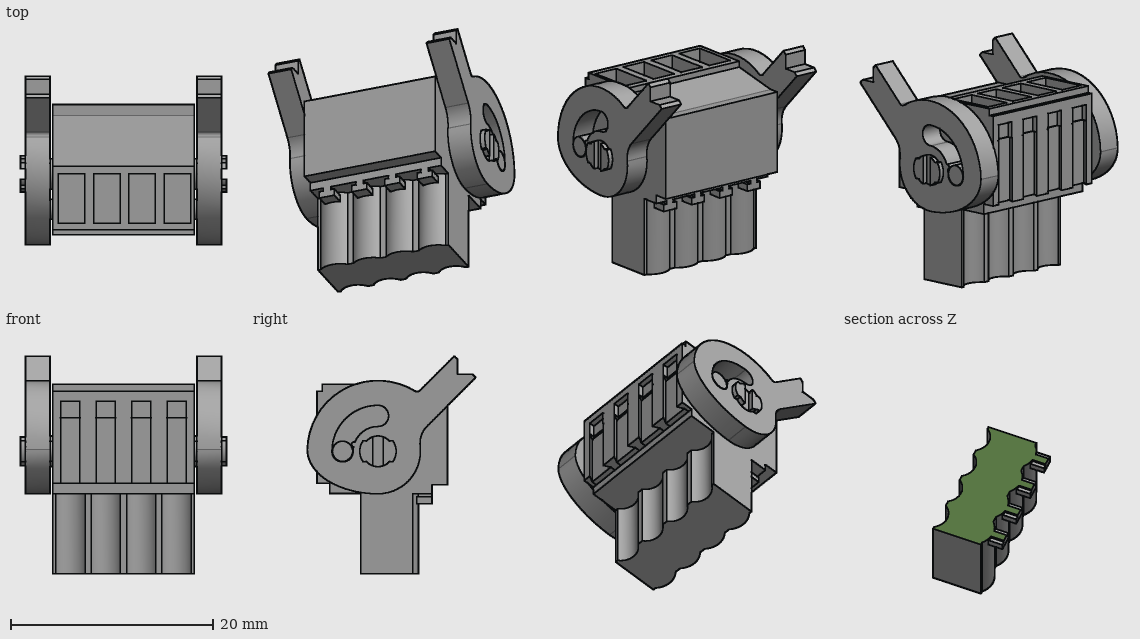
import cadquery as cq
import math


POLES = 4
PITCH = 3.5
POLE_X = [(i - (POLES - 1) / 2) * PITCH for i in range(POLES)]

HOUSING_LENGTH = POLES * PITCH
FRONT_Y = -6.03
BACK_Y = 6.88
TOP_Z = 6.63
RIM_Y = -5.53
RIM_SHOULDER_Z = 5.95
FRONT_BOTTOM_Z = -3.16
BACK_BOTTOM_Z = -3.32
LEDGE_FRONT_Y = -4.77
LEDGE_BACK_Y = 5.35
LEDGE_BOTTOM_Z = -4.18
RIM_BACK_Y = 0.77
SLOPE_TOP_Z = 6.02
SLOPE_END_Y = 5.78
BACK_TOP_Z = 5.0

PLUG_FRONT_Y = -1.71
PLUG_BACK_Y = 3.46
PLUG_BOTTOM_Z = -12.11
SCALLOP_WIDTH = 2.89
SCALLOP_DEPTH = 0.77
BULGE_HEIGHT = 0.55

CATCH_MIDDLE_Z = -4.5
CATCH_BOTTOM_Z = -5.2
CATCH_NECK_WIDTH = 0.8
CATCH_LIP_WIDTH = 1.6

POCKET_WIDTH = 2.62
POCKET_BACK_Y = 0.0
POCKET_FRONT_Y = -4.85
POCKET_DEPTH = 2.09
POCKET_SHIFT_X = 0.1

WINDOW_WIDTH = 1.87
WINDOW_TOP_Z = 4.94
WINDOW_DEPTH = 0.54
CONTACT_TOP_Z = 3.32
CONTACT_SETBACK = 0.7
CONTACT_WIDTH = 2.65
CONTACT_OPENING_WIDTH = 1.9

LEVER_GAP = 0.25
LEVER_THICKNESS = 2.45
LEVER_INNER_X = HOUSING_LENGTH / 2 + LEVER_GAP
LEVER_OUTER_X = LEVER_INNER_X + LEVER_THICKNESS
CAM_RADIUS = 7.0
CAM_END_Z = 0.18
HUB_RADIUS = 4.2
HANDLE_ANGLE = 45
HANDLE_WIDTH = 3.0
HANDLE_OFFSET = 0.18
HANDLE_REACH = 12.0
NOTCH_DEPTH = 1.03
UPPER_FILLET = 0.4
LOWER_FILLET = 2.4

SLOT_RADIUS = 3.5
SLOT_END_RADIUS = 1.05
DETENT_RADIUS = 0.25
DETENT_ANGLE = 16
PEG_RADIUS = 1.0

PIVOT_RADIUS = 1.52
PIVOT_HEAD_LENGTH = 0.5
BARB_RADIUS = 1.8
BARB_HEIGHT = 2.04
SPLIT_WIDTH = 1.02


def box(x_range, y_range, z_range):
    """Box between two limits on each axis."""
    lows, highs = zip(x_range, y_range, z_range)
    sizes = [high - low for low, high in zip(lows, highs)]
    return cq.Workplane("XY").box(*sizes, centered=False).translate(lows)


def centred_box(x, width, y_range, z_range):
    """Box of the given width in X about x."""
    return box((x - width / 2, x + width / 2), y_range, z_range)


def plane_at(x):
    """Sketch plane facing +X whose axes are Y and Z."""
    return cq.Workplane("YZ", origin=(x, 0, 0))



def housing_block():
    """Profile of the housing and its ledge, drawn along X."""
    profile = [
        (FRONT_Y, FRONT_BOTTOM_Z),
        (FRONT_Y, RIM_SHOULDER_Z),
        (RIM_Y, RIM_SHOULDER_Z),
        (RIM_Y, TOP_Z),
        (RIM_BACK_Y, TOP_Z),
        (RIM_BACK_Y, SLOPE_TOP_Z),
        (SLOPE_END_Y, BACK_TOP_Z),
        (BACK_Y, BACK_TOP_Z),
        (BACK_Y, BACK_BOTTOM_Z),
        (LEDGE_BACK_Y, BACK_BOTTOM_Z),
        (LEDGE_BACK_Y, LEDGE_BOTTOM_Z),
        (LEDGE_FRONT_Y, LEDGE_BOTTOM_Z),
        (LEDGE_FRONT_Y, FRONT_BOTTOM_Z),
    ]
    return plane_at(-HOUSING_LENGTH / 2).polyline(profile).close().extrude(HOUSING_LENGTH)


def plug():
    """Plug with a hollow in front and a bulge behind for each pole."""
    half_length = HOUSING_LENGTH / 2
    half_scallop = SCALLOP_WIDTH / 2
    outline = cq.Workplane("XY", origin=(0, 0, PLUG_BOTTOM_Z)).moveTo(-half_length, PLUG_FRONT_Y)
    for x in POLE_X:
        outline = outline.lineTo(x - half_scallop, PLUG_FRONT_Y)
        outline = outline.threePointArc(
            (x, PLUG_FRONT_Y + SCALLOP_DEPTH), (x + half_scallop, PLUG_FRONT_Y)
        )
    outline = outline.lineTo(half_length, PLUG_FRONT_Y).lineTo(half_length, PLUG_BACK_Y)
    for x in reversed(POLE_X):
        outline = outline.lineTo(x + half_scallop, PLUG_BACK_Y)
        outline = outline.threePointArc(
            (x, PLUG_BACK_Y + BULGE_HEIGHT), (x - half_scallop, PLUG_BACK_Y)
        )
    outline = outline.lineTo(-half_length, PLUG_BACK_Y).close()
    return outline.extrude(LEDGE_BOTTOM_Z - PLUG_BOTTOM_Z)


def catch(x):
    """Neck and wider lip under the ledge, on the bulge of one pole."""
    y_range = (PLUG_BACK_Y, LEDGE_BACK_Y)
    neck = centred_box(x, CATCH_NECK_WIDTH, y_range, (CATCH_MIDDLE_Z, LEDGE_BOTTOM_Z))
    lip = centred_box(x, CATCH_LIP_WIDTH, y_range, (CATCH_BOTTOM_Z, CATCH_MIDDLE_Z))
    return neck.union(lip)


def pocket(x):
    """Rectangular pocket in the top."""
    return centred_box(
        x + POCKET_SHIFT_X,
        POCKET_WIDTH,
        (POCKET_FRONT_Y, POCKET_BACK_Y),
        (TOP_Z - POCKET_DEPTH, TOP_Z),
    )


def window(x):
    """Shallow window in the front wall above the contact."""
    y_range = (FRONT_Y, FRONT_Y + WINDOW_DEPTH)
    return centred_box(x, WINDOW_WIDTH, y_range, (CONTACT_TOP_Z, WINDOW_TOP_Z))


def contact_recess(x):
    """Recess below the window, widening inwards to the contact's face, then holding the contact."""
    half_opening = CONTACT_OPENING_WIDTH / 2
    half_width = CONTACT_WIDTH / 2
    face_y = FRONT_Y + CONTACT_SETBACK
    outline = [
        (x - half_opening, FRONT_Y),
        (x + half_opening, FRONT_Y),
        (x + half_width, face_y),
        (x + half_width, LEDGE_FRONT_Y),
        (x - half_width, LEDGE_FRONT_Y),
        (x - half_width, face_y),
    ]
    bottom = cq.Workplane("XY", origin=(0, 0, FRONT_BOTTOM_Z))
    return bottom.polyline(outline).close().extrude(CONTACT_TOP_Z - FRONT_BOTTOM_Z)


def snap_pivot():
    """Pivot on the +X end: a shaft through the lever and a split, barbed head."""
    base_x = HOUSING_LENGTH / 2
    tip_x = LEVER_OUTER_X + PIVOT_HEAD_LENGTH
    shaft = plane_at(base_x).circle(PIVOT_RADIUS).extrude(tip_x - base_x)
    head_x = (LEVER_OUTER_X, tip_x)
    barbs = plane_at(LEVER_OUTER_X).circle(BARB_RADIUS).extrude(PIVOT_HEAD_LENGTH)
    barbs = barbs.intersect(
        box(head_x, (-BARB_RADIUS, BARB_RADIUS), (-BARB_HEIGHT / 2, BARB_HEIGHT / 2))
    )
    split = box(head_x, (-SPLIT_WIDTH / 2, SPLIT_WIDTH / 2), (-BARB_RADIUS, BARB_RADIUS))
    return shaft.union(barbs).cut(split)


def stop_peg():
    """Peg on the +X end, flush with the outside of the lever."""
    base_x = HOUSING_LENGTH / 2
    return plane_at(base_x).center(-SLOT_RADIUS, 0).circle(PEG_RADIUS).extrude(LEVER_OUTER_X - base_x)


def make_housing():
    """Housing with its plug, pockets, windows, pivots and pegs."""
    body = housing_block().union(plug())
    for x in POLE_X:
        body = body.union(catch(x)).cut(pocket(x)).cut(window(x)).cut(contact_recess(x))
    for fitting in (snap_pivot(), stop_peg()):
        body = body.union(fitting).union(fitting.mirror("YZ"))
    return body



def make_contact(x):
    """Contact plate at the back of one recess."""
    return centred_box(
        x,
        CONTACT_WIDTH,
        (FRONT_Y + CONTACT_SETBACK, LEDGE_FRONT_Y),
        (FRONT_BOTTOM_Z, CONTACT_TOP_Z),
    )



def polar(radius, degrees):
    """Point (Y, Z) at a radius and angle about the pivot, from +Y towards +Z."""
    angle = math.radians(degrees)
    return radius * math.cos(angle), radius * math.sin(angle)


def handle_point(along, across):
    """Point (Y, Z) given along the handle and across it, towards its lower side."""
    y_along, z_along = polar(along, HANDLE_ANGLE)
    y_across, z_across = polar(across, HANDLE_ANGLE - 90)
    return y_along + y_across, z_along + z_across


def handle_fillet(edge, side, disc_radius, fillet_radius):
    """End on the handle edge, middle, and end on the disc of the fillet joining them."""
    centre_across = edge + side * fillet_radius
    centre_along = math.sqrt((disc_radius + fillet_radius) ** 2 - centre_across**2)
    on_handle = (centre_along, edge)
    shrink = disc_radius / (disc_radius + fillet_radius)
    on_disc = (centre_along * shrink, centre_across * shrink)
    along = on_handle[0] + on_disc[0] - 2 * centre_along
    across = on_handle[1] + on_disc[1] - 2 * centre_across
    reach = fillet_radius / math.hypot(along, across)
    middle = (centre_along + along * reach, centre_across + across * reach)
    return [handle_point(*point) for point in (on_handle, middle, on_disc)]


def lever_plate(x):
    """Disc-shaped cam with its notched handle.

    The rim is a circle over the top, a quarter ellipse from the front to the
    bottom, and a smaller circle from the bottom to the back.
    """
    upper_edge = HANDLE_OFFSET - HANDLE_WIDTH / 2
    lower_edge = HANDLE_OFFSET + HANDLE_WIDTH / 2
    upper_fillet = handle_fillet(upper_edge, -1, CAM_RADIUS, UPPER_FILLET)
    lower_fillet = handle_fillet(lower_edge, 1, HUB_RADIUS, LOWER_FILLET)
    cam_end = math.sqrt(CAM_RADIUS**2 - CAM_END_Z**2)
    return (
        plane_at(x)
        .moveTo(*handle_point(HANDLE_REACH, upper_edge))
        .lineTo(*upper_fillet[0])
        .threePointArc(upper_fillet[1], upper_fillet[2])
        .threePointArc(polar(CAM_RADIUS, 120), (-cam_end, CAM_END_Z))
        .ellipseArc(cam_end, HUB_RADIUS + CAM_END_Z, 180, 270, startAtCurrent=True)
        .threePointArc(polar(HUB_RADIUS, -45), lower_fillet[2])
        .threePointArc(lower_fillet[1], lower_fillet[0])
        .lineTo(*handle_point(HANDLE_REACH, lower_edge))
        .lineTo(*handle_point(HANDLE_REACH, HANDLE_OFFSET + NOTCH_DEPTH))
        .lineTo(*handle_point(HANDLE_REACH - NOTCH_DEPTH, HANDLE_OFFSET))
        .lineTo(*handle_point(HANDLE_REACH, HANDLE_OFFSET - NOTCH_DEPTH))
        .close()
        .extrude(LEVER_THICKNESS)
    )


def guide_slot(x):
    """Quarter-circle slot about the pivot, with a detent bump next to the peg."""
    outer = SLOT_RADIUS + SLOT_END_RADIUS
    inner = SLOT_RADIUS - SLOT_END_RADIUS
    slot = (
        plane_at(x)
        .moveTo(0, outer)
        .threePointArc((SLOT_END_RADIUS, SLOT_RADIUS), (0, inner))
        .threePointArc(polar(inner, 135), (-inner, 0))
        .threePointArc((-SLOT_RADIUS, -SLOT_END_RADIUS), (-outer, 0))
        .threePointArc(polar(outer, 135), (0, outer))
        .close()
        .extrude(LEVER_THICKNESS)
    )
    detent_centre = polar(inner, 180 - DETENT_ANGLE)
    detent = plane_at(x).center(*detent_centre).circle(DETENT_RADIUS).extrude(LEVER_THICKNESS)
    return slot.cut(detent)


def make_lever(x):
    """Lever whose -X face lies at x."""
    bore = plane_at(x).circle(PIVOT_RADIUS).extrude(LEVER_THICKNESS)
    return lever_plate(x).cut(guide_slot(x)).cut(bore)


housing = make_housing()
contacts = [make_contact(x) for x in POLE_X]
levers = [make_lever(x) for x in (-LEVER_OUTER_X, LEVER_INNER_X)]

result = cq.Compound.makeCompound([body.val() for body in [housing, *contacts, *levers]])